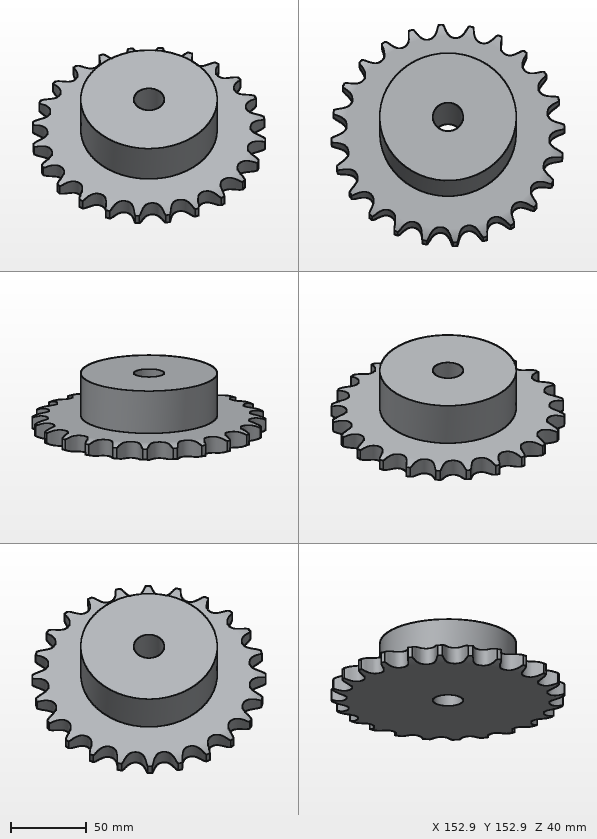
import cadquery as cq
import math

TEETH = 24
CHAIN_PITCH = 19.05
ROLLER_DIAMETER = 12.07
TIP_DIAMETER = 153.9
PLATE_THICKNESS = 11.1
HUB_DIAMETER = 90.0
BORE_DIAMETER = 20.0
TOTAL_HEIGHT = 40.0
SIDE_RELIEF_RADIUS = 19.0
SIDE_RELIEF_DEPTH = 2.0

PITCH_ANGLE = 360.0 / TEETH
PITCH_RADIUS = CHAIN_PITCH / (2 * math.sin(math.pi / TEETH))
TIP_RADIUS = TIP_DIAMETER / 2

FORM_CLEARANCE = 0.038
SEATING_FACTOR = 0.5025
WORKING_OFFSET = 0.8 * ROLLER_DIAMETER
TOPPING_OFFSET = 1.4 * ROLLER_DIAMETER
SEATING_END_SLOPE = math.radians(35 + 60 / TEETH)
WORKING_ARC_ANGLE = math.radians(18 - 56 / TEETH)
TOPPING_ANGLE = math.radians(17 - 64 / TEETH)

SEATING_RADIUS = SEATING_FACTOR * ROLLER_DIAMETER + FORM_CLEARANCE
WORKING_RADIUS = SEATING_RADIUS + WORKING_OFFSET
FLANK_SLOPE = SEATING_END_SLOPE - WORKING_ARC_ANGLE
STRAIGHT_LENGTH = TOPPING_OFFSET * math.sin(TOPPING_ANGLE) - WORKING_OFFSET * math.sin(WORKING_ARC_ANGLE)
TOPPING_RADIUS = (
    WORKING_OFFSET * math.cos(WORKING_ARC_ANGLE)
    + TOPPING_OFFSET * math.cos(TOPPING_ANGLE)
    - WORKING_RADIUS
)


def point_on_arc(center, radius, slope):
    """Point of a circle where the tangent makes the given slope angle with X.

    A positive radius gives the point on the +Y side, a negative one the opposite point.
    """
    return (center[0] - radius * math.sin(slope), center[1] + radius * math.cos(slope))


def mirrored(point):
    """The same point on the other side of the X axis."""
    return (point[0], -point[1])


def tip_point_and_slope(topping_center):
    """Where the topping arc meets the tip circle, and the slope angle of the arc there."""
    center_distance = math.hypot(*topping_center)
    center_angle = math.atan2(topping_center[1], topping_center[0])
    cosine = (TIP_RADIUS**2 + center_distance**2 - TOPPING_RADIUS**2) / (2 * TIP_RADIUS * center_distance)
    tip_angle = center_angle - math.acos(cosine)
    tip = (TIP_RADIUS * math.cos(tip_angle), TIP_RADIUS * math.sin(tip_angle))
    slope = math.atan2(tip[0] - topping_center[0], topping_center[1] - tip[1])
    return tip, slope


def tooth_gap():
    """Cutter for one gap between teeth, symmetric about the X axis."""
    roller_center = (PITCH_RADIUS, 0.0)
    root = (PITCH_RADIUS - SEATING_RADIUS, 0.0)
    seating_end = point_on_arc(roller_center, SEATING_RADIUS, SEATING_END_SLOPE)

    working_center = point_on_arc(roller_center, SEATING_RADIUS - WORKING_RADIUS, SEATING_END_SLOPE)
    working_middle = point_on_arc(working_center, WORKING_RADIUS, (SEATING_END_SLOPE + FLANK_SLOPE) / 2)
    working_end = point_on_arc(working_center, WORKING_RADIUS, FLANK_SLOPE)

    straight_end = (
        working_end[0] + STRAIGHT_LENGTH * math.cos(FLANK_SLOPE),
        working_end[1] + STRAIGHT_LENGTH * math.sin(FLANK_SLOPE),
    )
    topping_center = point_on_arc(straight_end, TOPPING_RADIUS, FLANK_SLOPE)
    tip, tip_slope = tip_point_and_slope(topping_center)
    topping_middle = point_on_arc(topping_center, -TOPPING_RADIUS, (FLANK_SLOPE + tip_slope) / 2)
    outside = (TIP_RADIUS + ROLLER_DIAMETER, tip[1])

    return (
        cq.Workplane("XY")
        .moveTo(*mirrored(seating_end))
        .threePointArc(root, seating_end)
        .threePointArc(working_middle, working_end)
        .lineTo(*straight_end)
        .threePointArc(topping_middle, tip)
        .lineTo(*outside)
        .lineTo(*mirrored(outside))
        .lineTo(*mirrored(tip))
        .threePointArc(mirrored(topping_middle), mirrored(straight_end))
        .lineTo(*mirrored(working_end))
        .threePointArc(mirrored(working_middle), mirrored(seating_end))
        .close()
        .extrude(PLATE_THICKNESS)
    )


def plate_blank():
    """Disc whose two faces curve towards each other near the rim."""
    def relief(depth):
        """Radial length over which the relief arc falls to the given depth."""
        return math.sqrt(SIDE_RELIEF_RADIUS**2 - (SIDE_RELIEF_RADIUS - depth) ** 2)

    middle_depth = SIDE_RELIEF_DEPTH / 2
    face_radius = TIP_RADIUS - relief(SIDE_RELIEF_DEPTH)
    middle_radius = face_radius + relief(middle_depth)
    return (
        cq.Workplane("XZ")
        .lineTo(face_radius, 0)
        .threePointArc((middle_radius, middle_depth), (TIP_RADIUS, SIDE_RELIEF_DEPTH))
        .lineTo(TIP_RADIUS, PLATE_THICKNESS - SIDE_RELIEF_DEPTH)
        .threePointArc((middle_radius, PLATE_THICKNESS - middle_depth), (face_radius, PLATE_THICKNESS))
        .lineTo(0, PLATE_THICKNESS)
        .close()
        .revolve(360, (0, 0), (0, 1))
    )


def toothed_plate():
    """Plate with all tooth gaps cut around the rim."""
    plate = plate_blank()
    gap = tooth_gap()
    for index in range(TEETH):
        plate = plate.cut(gap.rotate((0, 0, 0), (0, 0, 1), index * PITCH_ANGLE))
    return plate


hub = cq.Workplane("XY").circle(HUB_DIAMETER / 2).extrude(TOTAL_HEIGHT)
bore = cq.Workplane("XY").circle(BORE_DIAMETER / 2).extrude(TOTAL_HEIGHT)

result = toothed_plate().union(hub).cut(bore)